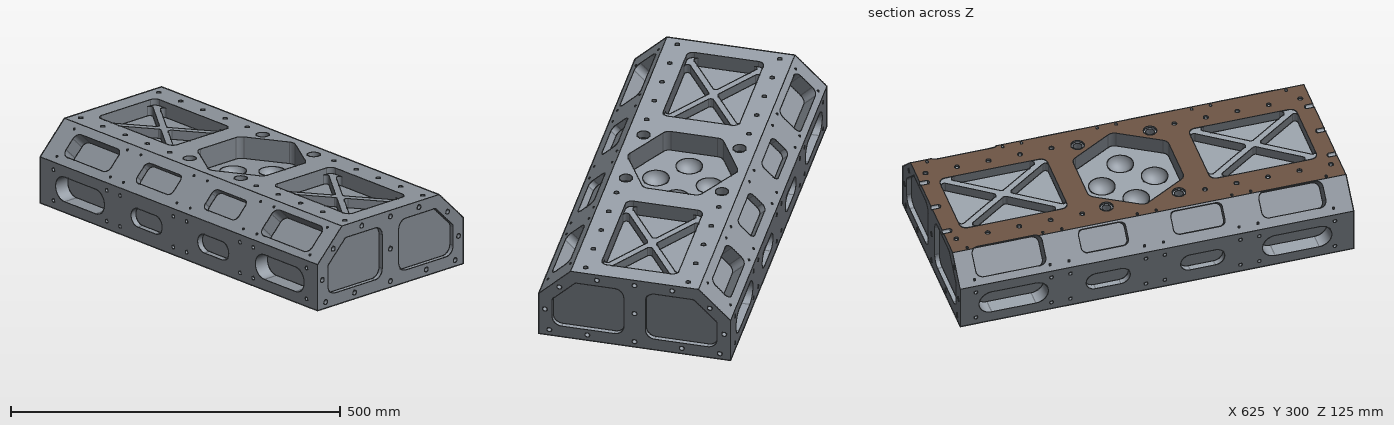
import cadquery as cq
import math

LENGTH = 625.0
WIDTH = 300.0
HEIGHT = 125.0
CHAMFER = 50.0
CHAMFER_FOOT = HEIGHT - CHAMFER

STATION_PITCH = 150.0
STATION_SHIFT = 2.5
STATIONS = [STATION_SHIFT + STATION_PITCH * (i - 1.5) for i in range(4)]
SCREW_SPAN_X = 120.0
SCREW_SPAN_UP = 50.0
SIDE_SCREW_DIA = 5.5
SLOPE_SCREW_DIA = 3.0
SCREW_DEPTH = 12.5
DRILL_POINT_ANGLE = 118.0

SLOT_LARGE = (110.0, 40.0, 25.0)
SLOT_SMALL = (70.0, 30.0, 10.0)
SIDE_SLOTS = [SLOT_LARGE, SLOT_SMALL, SLOT_SMALL, SLOT_LARGE]

SLOPE_POCKETS = [
    (102.0, 41.0, 25.5, 10.5),
    (82.0, 36.0, 11.0, 9.0),
    (75.0, 36.0, 11.0, 9.0),
    (111.0, 47.0, 25.5, 10.5),
]

RIB_POCKET_X = 198.0
RIB_POCKET_LENGTH = 170.0
RIB_POCKET_WIDTH = 120.0
RIB_POCKET_RADIUS = 10.0
RIB_TOP_DEPTH = 10.0
RIB_FLOOR_DEPTH = 25.0
RIB_THICKNESS = 10.0
RIB_CELL_RADIUS = 5.0

HEX_ACROSS_FLATS = 151.0
HEX_RADIUS = 12.5
HEX_DEPTH = 35.0
DIMPLE_RADIUS = 21.0
DIMPLE_DEPTH = 15.0
DIMPLE_OFFSET = 42.0

BOLT_X = 57.5
BOLT_Y = 75.0
BOLT_DIA = 14.0
BOLT_HEAD_DIA = 20.0
BOLT_HEAD_DEPTH = 12.5

TOP_SCREW_PITCH = 50.0
TOP_SCREW_END = 297.5
TOP_SCREWS_PER_ROW = 5
TOP_SCREW_Y = 80.0
TOP_SCREW_DIA = 7.0

END_POCKET_DEPTH = 7.5
END_POCKET_INNER = 17.0
END_POCKET_OUTER = 129.0
END_POCKET_BOTTOM = 20.0
END_POCKET_TOP = 104.5
END_POCKET_CHAMFER = 36.0
END_POCKET_RADIUS = 15.0
END_POCKET_SLOPE_RADIUS = 6.0
END_SCREW_DIA = 7.5
END_SCREW_INSET = 10.0
END_SCREW_LOW = END_SCREW_INSET
END_SCREW_HIGH = HEIGHT - END_SCREW_INSET
END_SCREWS_CENTRE = [(0, END_SCREW_LOW), (0, HEIGHT / 2), (0, END_SCREW_HIGH)]
END_SCREWS_SIDE = [
    (59.0, END_SCREW_HIGH),
    (117.5, 92.5),
    (WIDTH / 2 - END_SCREW_INSET, 47.5),
    (133.0, END_SCREW_LOW),
    (74.0, END_SCREW_LOW),
]
CENTRE_BORE_DIA = 4.0
CENTRE_BORE_DEPTH = 19.0


def face_plane(origin, x_dir, normal):
    return cq.Workplane(cq.Plane(origin=origin, xDir=x_dir, normal=normal))


def both_ends(cutter):
    """Add the copy mirrored to the opposite X end."""
    return cutter.union(cutter.mirror("YZ"))


def both_sides(cutter):
    """Add the copy mirrored to the opposite Y side."""
    return cutter.union(cutter.mirror("XZ"))


def make_block():
    half = WIDTH / 2
    outline = [
        (-half, 0),
        (half, 0),
        (half, CHAMFER_FOOT),
        (half - CHAMFER, HEIGHT),
        (CHAMFER - half, HEIGHT),
        (-half, CHAMFER_FOOT),
    ]
    return cq.Workplane("YZ").polyline(outline).close().extrude(LENGTH / 2, both=True)


def drill(spots, dia):
    """Blind drilled holes with conical bottoms at every spot, sunk against the plane normal."""
    radius = dia / 2
    tip = radius / math.tan(math.radians(DRILL_POINT_ANGLE / 2))
    profile = [(0, 0), (radius, 0), (radius, -SCREW_DEPTH), (0, -SCREW_DEPTH - tip)]
    hole = cq.Workplane("XZ").polyline(profile).close().revolve(360, (0, 0), (0, 1)).val()
    return spots.eachpoint(lambda spot: hole.moved(spot), useLocalCoordinates=True)


def station_screws(plane, x, dia):
    corners = plane.center(x, 0).rect(SCREW_SPAN_X, SCREW_SPAN_UP, forConstruction=True).vertices()
    return drill(corners, dia)


def side_cuts():
    plane = face_plane((0, -WIDTH / 2, CHAMFER_FOOT / 2), (1, 0, 0), (0, -1, 0))
    cuts = cq.Workplane()
    for x, (length, height, depth) in zip(STATIONS, SIDE_SLOTS):
        cuts = cuts.add(plane.center(x, 0).slot2D(length, height).extrude(-depth))
        cuts = cuts.add(station_screws(plane, x, SIDE_SCREW_DIA))
    return both_sides(cuts.combine())


def slope_cuts():
    origin = (0, (CHAMFER - WIDTH) / 2, HEIGHT - CHAMFER / 2)
    plane = face_plane(origin, (1, 0, 0), (0, -1, 1))
    cuts = cq.Workplane()
    for x, (length, height, depth, radius) in zip(STATIONS, SLOPE_POCKETS):
        pocket = plane.center(x, 0).rect(length, height).extrude(-depth)
        cuts = cuts.add(pocket.edges("|(0,-1,1)").fillet(radius))
        cuts = cuts.add(station_screws(plane, x, SLOPE_SCREW_DIA))
    return both_sides(cuts.combine())


def rib_pockets():
    """Shallow rectangles, deepened into four cells between two diagonal ribs."""
    top = cq.Workplane("XY").workplane(offset=HEIGHT).center(RIB_POCKET_X, 0)
    basin = top.rect(RIB_POCKET_LENGTH, RIB_POCKET_WIDTH).extrude(-RIB_TOP_DEPTH)
    basin = basin.edges("|Z").fillet(RIB_POCKET_RADIUS)
    cells = top.rect(RIB_POCKET_LENGTH, RIB_POCKET_WIDTH).extrude(-RIB_FLOOR_DEPTH)
    angle = math.degrees(math.atan2(RIB_POCKET_WIDTH, RIB_POCKET_LENGTH))
    diagonal = math.hypot(RIB_POCKET_LENGTH, RIB_POCKET_WIDTH)
    for turn in (angle, -angle):
        rib = cq.Workplane("XY").box(2 * diagonal, RIB_THICKNESS, 2 * HEIGHT)
        rib = rib.rotate((0, 0, 0), (0, 0, 1), turn).translate((RIB_POCKET_X, 0, HEIGHT))
        cells = cells.cut(rib)
    cells = cells.edges("|Z").fillet(RIB_CELL_RADIUS)
    return both_ends(basin.union(cells))


def hexagon_pocket():
    top = cq.Workplane("XY").workplane(offset=HEIGHT)
    across_corners = HEX_ACROSS_FLATS / math.cos(math.pi / 6)
    pocket = top.polygon(6, across_corners).extrude(-HEX_DEPTH).edges("|Z").fillet(HEX_RADIUS)
    pocket = pocket.rotate((0, 0, 0), (0, 0, 1), 30)
    ball_centre = DIMPLE_RADIUS - DIMPLE_DEPTH - HEX_DEPTH
    dimples = top.workplane(offset=ball_centre).polarArray(DIMPLE_OFFSET, 0, 360, 4).sphere(DIMPLE_RADIUS)
    below_floor = cq.Workplane("XY").box(LENGTH, WIDTH, HEIGHT - HEX_DEPTH, centered=(True, True, False))
    return pocket.union(dimples.intersect(below_floor))


def bolt_holes():
    top = cq.Workplane("XY").workplane(offset=HEIGHT)
    spots = top.rect(2 * BOLT_X, 2 * BOLT_Y, forConstruction=True).vertices()
    heads = spots.circle(BOLT_HEAD_DIA / 2).extrude(-BOLT_HEAD_DEPTH)
    return heads.union(spots.circle(BOLT_DIA / 2).extrude(-HEIGHT))


def top_screws():
    row = [(TOP_SCREW_END - i * TOP_SCREW_PITCH, TOP_SCREW_Y) for i in range(TOP_SCREWS_PER_ROW)]
    top = cq.Workplane("XY").workplane(offset=HEIGHT)
    return both_sides(both_ends(drill(top.pushPoints(row), TOP_SCREW_DIA).combine()))


def end_cuts():
    end = face_plane((LENGTH / 2, 0, 0), (0, 1, 0), (1, 0, 0))
    outline = [
        (END_POCKET_INNER, END_POCKET_BOTTOM),
        (END_POCKET_OUTER, END_POCKET_BOTTOM),
        (END_POCKET_OUTER, END_POCKET_TOP - END_POCKET_CHAMFER),
        (END_POCKET_OUTER - END_POCKET_CHAMFER, END_POCKET_TOP),
        (END_POCKET_INNER, END_POCKET_TOP),
    ]
    pocket = end.polyline(outline).close().extrude(-END_POCKET_DEPTH)
    pocket = pocket.edges("|X and (not <Y) and (not <Z)").fillet(END_POCKET_SLOPE_RADIUS)
    pocket = pocket.edges("|X and (<Y or <Z)").fillet(END_POCKET_RADIUS)
    screws = drill(end.pushPoints(END_SCREWS_CENTRE + END_SCREWS_SIDE), END_SCREW_DIA)
    bore = end.center(0, HEIGHT / 2).circle(CENTRE_BORE_DIA / 2).extrude(-CENTRE_BORE_DEPTH)
    return both_ends(both_sides(pocket.union(screws).union(bore)))


result = make_block()
for cutter in (
    side_cuts(),
    slope_cuts(),
    rib_pockets(),
    hexagon_pocket(),
    bolt_holes(),
    top_screws(),
    end_cuts(),
):
    result = result.cut(cutter)